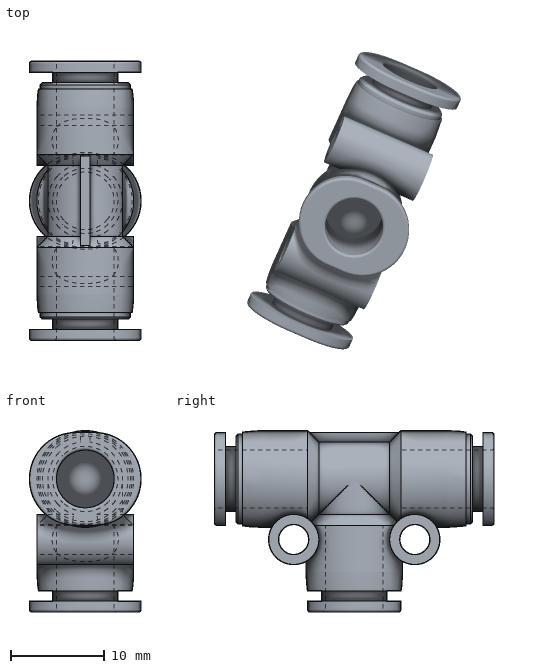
import cadquery as cq
import math


barrel_radius = 5.2
waist_radius = 4.0
barrel_start = 5.0
barrel_round_start = 10.0
barrel_end = 12.0
barrel_round_radius = 12.0
waist_end = barrel_start - (barrel_radius - waist_radius)

collar_radius = 4.85
collar_length = 0.7
collar_chamfer = 0.25

neck_radius = 3.5
neck_length = 1.1
flange_width = 12.0
flange_height = 10.0
flange_thickness = 1.2
flange_edge_radius = 0.3

bore_diameter = 6.2
bore_floor = barrel_start

rib_width = 1.0
rib_top = 5.0
rib_half_length = barrel_start - (barrel_radius - rib_top)

mount_outer_diameter = 5.4
mount_hole_diameter = 3.2
mount_length = 2 * barrel_radius
mount_y = 6.5
mount_z = -6.5

run_normals = [(0, 1, 0), (0, -1, 0)]
branch_normal = (0, 0, -1)
sleeve_on_run = barrel_end + collar_length
sleeve_on_branch = barrel_end


def port_plane(normal, distance):
    """Plane square to a port axis, a distance out from the origin."""
    origin = tuple(distance * part for part in normal)
    return cq.Plane(origin=origin, xDir=(1, 0, 0), normal=normal)


def outer_face(normal):
    """Selector for the face furthest out along a port."""
    return cq.selectors.DirectionMinMaxSelector(cq.Vector(*normal))


def barrel(normal):
    """Waist, sloped shoulder and barrel of one port, curving in towards its end."""
    round_length = barrel_end - barrel_round_start
    drop = barrel_round_radius - math.sqrt(barrel_round_radius**2 - round_length**2)
    profile = (
        cq.Workplane(cq.Plane(origin=(0, 0, 0), xDir=(1, 0, 0), normal=(0, -1, 0)))
        .lineTo(waist_radius, 0)
        .lineTo(waist_radius, waist_end)
        .lineTo(barrel_radius, barrel_start)
        .lineTo(barrel_radius, barrel_round_start)
        .tangentArcPoint((barrel_radius - drop, barrel_end), relative=False)
        .lineTo(0, barrel_end)
        .close()
    )
    solid = profile.revolve(360, (0, 0, 0), (0, 1, 0)).val()
    return cq.Workplane(solid.moved(port_plane(normal, 0).location))


def collar(normal):
    """Chamfered ring between a run barrel and its sleeve."""
    ring = cq.Workplane(port_plane(normal, barrel_end)).circle(collar_radius).extrude(collar_length)
    return ring.faces(outer_face(normal)).chamfer(collar_chamfer)


def sleeve(normal, start):
    """Release sleeve: round neck and oval flange, bored through with a rounded rim and mouth."""
    neck = (
        cq.Workplane(port_plane(normal, start))
        .circle(neck_radius)
        .circle(bore_diameter / 2)
        .extrude(neck_length)
    )
    flange = (
        cq.Workplane(port_plane(normal, start + neck_length))
        .slot2D(flange_width, flange_height)
        .circle(bore_diameter / 2)
        .extrude(flange_thickness)
        .faces(outer_face(normal))
        .edges()
        .fillet(flange_edge_radius)
    )
    return neck.union(flange)


def bore(normal, sleeve_start):
    """Blind tube bore, from its floor to the inner end of the sleeve."""
    return (
        cq.Workplane(port_plane(normal, bore_floor))
        .circle(bore_diameter / 2)
        .extrude(sleeve_start - bore_floor)
    )


def mount_cylinder(y, diameter):
    """Cylinder along X on the axis of one mounting tube."""
    return (
        cq.Workplane("YZ", origin=(-mount_length / 2, y, mount_z))
        .circle(diameter / 2)
        .extrude(mount_length)
    )


def make_housing():
    """Tee housing with its run sleeves, rib and mounting tubes."""
    housing = barrel(branch_normal)
    for normal in run_normals:
        housing = housing.union(barrel(normal))
        housing = housing.union(collar(normal))
        housing = housing.union(sleeve(normal, sleeve_on_run))

    rib = cq.Workplane("XY").rect(rib_width, 2 * rib_half_length).extrude(rib_top)
    housing = housing.union(rib)

    mount_rows = (-mount_y, mount_y)
    for y in mount_rows:
        housing = housing.union(mount_cylinder(y, mount_outer_diameter))
    for y in mount_rows:
        housing = housing.cut(mount_cylinder(y, mount_hole_diameter))

    for normal in run_normals:
        housing = housing.cut(bore(normal, sleeve_on_run))
    return housing.cut(bore(branch_normal, sleeve_on_branch))


housing = make_housing()

branch_sleeve = sleeve(branch_normal, sleeve_on_branch)

result = cq.Compound.makeCompound([housing.val(), branch_sleeve.val()])